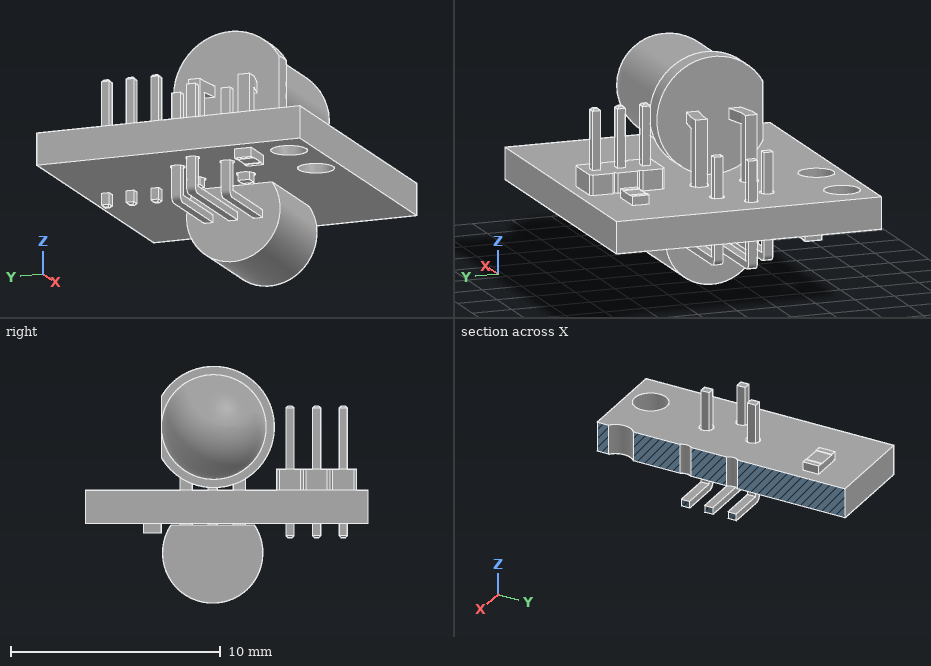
import cadquery as cq
import math


BOARD_LENGTH = 15.2
BOARD_WIDTH = 13.5
BOARD_THICKNESS = 1.6
BOARD_LEFT = -BOARD_LENGTH / 2
BOARD_FRONT = -BOARD_WIDTH / 2

MOUNT_HOLE_DIAMETER = 1.75
MOUNT_HOLE_XS = (BOARD_LEFT + 1.9, BOARD_LEFT + 5.4)
MOUNT_HOLE_Y = BOARD_FRONT + 1.3

PITCH = 1.27
LEAD_ROW_Y = -0.67
SIDES = (1, -1)

HEADER_X = BOARD_LEFT + 6.1
HEADER_MIDDLE_Y = 4.29
HEADER_WIDTH = 2.1
HEADER_HEIGHT = 1.0
HEADER_CHAMFER = 0.13
PIN_COUNT = 3
PIN_SIZE = 0.4
PIN_TOP = 5.62
PIN_BOTTOM = -0.67
PIN_CHAMFER = 0.1

CHIP_LENGTH = 1.6
CHIP_WIDTH = 0.85
CHIP_HEIGHT = 0.45
CHIP_CAP_LENGTH = 0.3
CHIP_CAP_STEP = 0.03
TOP_CHIP_CENTRE = (BOARD_LEFT + 3.41, 4.54)
BOTTOM_CHIP_CENTRE = (BOARD_LEFT + 1.51, -3.55)

LED_Y = -0.62
LED_Z = 4.615
LED_RADIUS = 5.0 / 2
FLANGE_RADIUS = 2.9
FLANGE_THICKNESS = 1.0
FLANGE_BACK_X = BOARD_LEFT + 6.46
FLANGE_FRONT_X = FLANGE_BACK_X + FLANGE_THICKNESS
DOME_X = BOARD_LEFT + 12.57
LED_LEAD_X = BOARD_LEFT + 5.18
LED_LEAD_SIZE = 0.6
LED_LEAD_TOP = 4.89
LED_LEAD_BOTTOM = -0.36
LED_ARM_HEIGHT = 0.55
LED_ARM_END_OFFSET = 1.08
LED_HOLE_DIAMETER = 0.9

RECEIVER_RADIUS = 2.4
RECEIVER_Z = -1.395
RECEIVER_X = BOARD_LEFT + 6.76
RECEIVER_LENGTH = 4.8
RECEIVER_GAP = 0.05
RECEIVER_LEAD_THICKNESS = 0.38
RECEIVER_LEAD_WIDTH = 0.45
RECEIVER_LEAD_TOP = 3.62
RECEIVER_LEAD_BOTTOM = -1.76
RECEIVER_LEAD_BEND_RADIUS = 0.3
MIDDLE_LEAD_X = BOARD_LEFT + 1.455
OUTER_LEAD_X = MIDDLE_LEAD_X + PITCH
RECEIVER_HOLE_SHIFT = 0.035
MIDDLE_HOLE_DIAMETER = 0.65
OUTER_HOLE_DIAMETER = 0.7


def box(x0, x1, y0, y1, z0, z1):
    """Box between opposite corners."""
    return cq.Workplane("XY").box(x1 - x0, y1 - y0, z1 - z0, centered=False).translate((x0, y0, z0))


def column(x, y, size_x, size_y, z0, z1):
    """Upright bar centred on (x, y)."""
    return box(x - size_x / 2, x + size_x / 2, y - size_y / 2, y + size_y / 2, z0, z1)


def drill(plate, x, y, diameter):
    return plate.cut(cq.Workplane("XY").center(x, y).circle(diameter / 2).extrude(BOARD_THICKNESS))


def make_plate():
    """Bare board with its mounting holes and lead holes."""
    plate = box(BOARD_LEFT, -BOARD_LEFT, BOARD_FRONT, -BOARD_FRONT, 0, BOARD_THICKNESS)
    for x in MOUNT_HOLE_XS:
        plate = drill(plate, x, MOUNT_HOLE_Y, MOUNT_HOLE_DIAMETER)
    plate = drill(plate, MIDDLE_LEAD_X + RECEIVER_HOLE_SHIFT, LEAD_ROW_Y, MIDDLE_HOLE_DIAMETER)
    for side in SIDES:
        y = LEAD_ROW_Y + side * PITCH
        plate = drill(plate, OUTER_LEAD_X + RECEIVER_HOLE_SHIFT, y, OUTER_HOLE_DIAMETER)
        plate = drill(plate, LED_LEAD_X, y, LED_HOLE_DIAMETER)
    return plate


def make_header_segment(y):
    """One chamfered header block with its pin, which runs through the board."""
    block = column(HEADER_X, y, HEADER_WIDTH, PITCH, BOARD_THICKNESS, BOARD_THICKNESS + HEADER_HEIGHT)
    block = block.edges("|Z").chamfer(HEADER_CHAMFER)
    pin = column(HEADER_X, y, PIN_SIZE, PIN_SIZE, PIN_BOTTOM, PIN_TOP)
    pin = pin.faces("<Z or >Z").chamfer(PIN_CHAMFER)
    return block.union(pin)


def make_chip(centre):
    """Chip resistor standing on Z = 0, with end caps raised above its middle."""
    x, y = centre
    chip = column(x, y, CHIP_LENGTH, CHIP_WIDTH, 0, CHIP_HEIGHT)
    middle_length = CHIP_LENGTH - 2 * CHIP_CAP_LENGTH
    recess = column(x, y, middle_length, CHIP_WIDTH, CHIP_HEIGHT - CHIP_CAP_STEP, CHIP_HEIGHT)
    return chip.cut(recess)


def make_board():
    """Board, pin header and chip resistors as one solid."""
    board = make_plate()
    first_pin_y = HEADER_MIDDLE_Y - (PIN_COUNT - 1) / 2 * PITCH
    for i in range(PIN_COUNT):
        board = board.union(make_header_segment(first_pin_y + i * PITCH))
    top_chip = make_chip(TOP_CHIP_CENTRE).translate((0, 0, BOARD_THICKNESS))
    bottom_chip = make_chip(BOTTOM_CHIP_CENTRE).mirror("XY")
    return board.union(top_chip).union(bottom_chip)


def make_led_body():
    """Domed lens with a flange that has a flat on its -Y side."""
    dome_middle = LED_RADIUS * math.cos(math.radians(45))
    lens = (
        cq.Workplane("XY")
        .moveTo(FLANGE_BACK_X, 0)
        .lineTo(FLANGE_BACK_X, FLANGE_RADIUS)
        .lineTo(FLANGE_FRONT_X, FLANGE_RADIUS)
        .lineTo(FLANGE_FRONT_X, LED_RADIUS)
        .lineTo(DOME_X, LED_RADIUS)
        .threePointArc((DOME_X + dome_middle, dome_middle), (DOME_X + LED_RADIUS, 0))
        .close()
        .revolve(360, (0, 0, 0), (1, 0, 0))
    )
    flat_cut = box(FLANGE_BACK_X, FLANGE_FRONT_X, -FLANGE_RADIUS, -LED_RADIUS, -FLANGE_RADIUS, FLANGE_RADIUS)
    return lens.cut(flat_cut).translate((0, LED_Y, LED_Z))


def make_led_lead(side):
    """Upright post and an arm that slants in from the post to the flange."""
    y = LEAD_ROW_Y + side * PITCH
    end_y = LED_Y + side * LED_ARM_END_OFFSET
    half = LED_LEAD_SIZE / 2
    post = column(LED_LEAD_X, y, LED_LEAD_SIZE, LED_LEAD_SIZE, LED_LEAD_BOTTOM, LED_LEAD_TOP)
    arm = (
        cq.Workplane("XY", origin=(0, 0, LED_LEAD_TOP - LED_ARM_HEIGHT))
        .moveTo(LED_LEAD_X + half, y - half)
        .lineTo(FLANGE_BACK_X, end_y - half)
        .lineTo(FLANGE_BACK_X, end_y + half)
        .lineTo(LED_LEAD_X + half, y + half)
        .close()
        .extrude(LED_ARM_HEIGHT)
    )
    return post.union(arm)


def make_led():
    led = make_led_body()
    for side in SIDES:
        led = led.union(make_led_lead(side))
    return led


def make_receiver_body():
    """Cylinder with a flat just below the board."""
    cylinder = (
        cq.Workplane("YZ", origin=(RECEIVER_X, LEAD_ROW_Y, RECEIVER_Z))
        .circle(RECEIVER_RADIUS)
        .extrude(RECEIVER_LENGTH)
    )
    flat_cut = box(
        RECEIVER_X,
        RECEIVER_X + RECEIVER_LENGTH,
        LEAD_ROW_Y - RECEIVER_RADIUS,
        LEAD_ROW_Y + RECEIVER_RADIUS,
        -RECEIVER_GAP,
        RECEIVER_Z + RECEIVER_RADIUS,
    )
    return cylinder.cut(flat_cut)


def make_receiver_lead(x, y):
    """L-shaped lead: up through the board and along X to the receiver."""
    post = column(x, y, RECEIVER_LEAD_THICKNESS, RECEIVER_LEAD_WIDTH, RECEIVER_LEAD_BOTTOM, RECEIVER_LEAD_TOP)
    arm = box(
        x - RECEIVER_LEAD_THICKNESS / 2,
        RECEIVER_X,
        y - RECEIVER_LEAD_WIDTH / 2,
        y + RECEIVER_LEAD_WIDTH / 2,
        RECEIVER_LEAD_BOTTOM,
        RECEIVER_LEAD_BOTTOM + RECEIVER_LEAD_THICKNESS,
    )
    return post.union(arm).edges("|Y and <X and <Z").fillet(RECEIVER_LEAD_BEND_RADIUS)


def make_receiver():
    receiver = make_receiver_body().union(make_receiver_lead(MIDDLE_LEAD_X, LEAD_ROW_Y))
    for side in SIDES:
        receiver = receiver.union(make_receiver_lead(OUTER_LEAD_X, LEAD_ROW_Y + side * PITCH))
    return receiver


board = make_board()
led = make_led()
receiver = make_receiver()

result = cq.Compound.makeCompound([board.solids().val(), led.solids().val(), receiver.solids().val()])